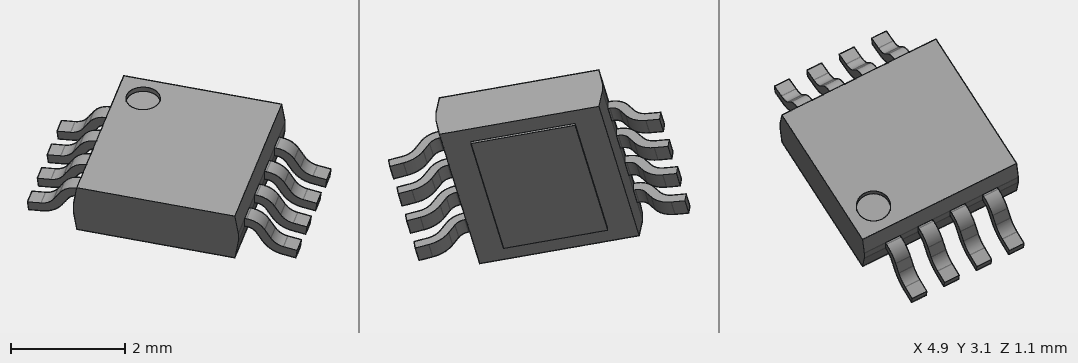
import cadquery as cq
import math

span = 4.9
overall_height = 1.1

body_width = 3.0
body_length = 3.1
body_height = 0.97
side_inset = 0.065

marker_diameter = 0.605
marker_depth = 0.1
marker_x = -0.945
marker_y = 1.055

pad_width = 1.875
pad_length = 2.515
pad_thickness = 0.05

leads_per_side = 4
lead_pitch = 0.65
lead_width = 0.3
lead_thickness = 0.18
shoulder_radius = 0.39
ankle_radius = 0.32
slope_angle = math.radians(57)
foot_angle = math.radians(7)
foot_length = 0.25

body_bottom = overall_height - body_height
body_middle = overall_height - body_height / 2
band_top = body_middle + lead_thickness / 2
band_bottom = body_middle - lead_thickness / 2


def make_body():
    band_x = body_width / 2
    face_x = band_x - side_inset
    right_side = [
        (face_x, body_bottom),
        (band_x, band_bottom),
        (band_x, band_top),
        (face_x, overall_height),
    ]
    left_side = [(-x, z) for x, z in reversed(right_side)]
    block = (
        cq.Workplane("XZ")
        .polyline(right_side + left_side)
        .close()
        .extrude(body_length / 2, both=True)
    )
    marker = (
        cq.Workplane("XY", origin=(marker_x, marker_y, overall_height - marker_depth))
        .circle(marker_diameter / 2)
        .extrude(marker_depth)
    )
    return block.cut(marker)


def make_thermal_pad():
    return (
        cq.Workplane("XY", origin=(0, 0, body_bottom - pad_thickness))
        .rect(pad_width, pad_length)
        .extrude(pad_thickness)
    )


def above(center, radius, angle):
    """Point on a convex arc whose tangent falls at the given angle."""
    return (center[0] + radius * math.sin(angle), center[1] + radius * math.cos(angle))


def below(center, radius, angle):
    """Point on a concave arc whose tangent falls at the given angle."""
    return above(center, -radius, angle)


def lead_profile():
    """XZ outline of a lead on the +X side, from the body out to the foot."""
    shoulder_inner = shoulder_radius - lead_thickness
    ankle_outer = ankle_radius + lead_thickness

    shoulder_drop = shoulder_radius * (1 - math.cos(slope_angle))
    ankle_drop = ankle_radius * (math.cos(foot_angle) - math.cos(slope_angle))
    foot_drop = foot_length * math.sin(foot_angle) + lead_thickness * math.cos(foot_angle)
    slope_drop = band_top - shoulder_drop - ankle_drop - foot_drop
    slope_run = slope_drop / math.tan(slope_angle)

    foot_run = foot_length * math.cos(foot_angle)
    ankle_x = span / 2 - foot_run + ankle_radius * math.sin(foot_angle)
    bend_offset = (shoulder_radius + ankle_radius) * math.sin(slope_angle) + slope_run
    shoulder_x = ankle_x - bend_offset
    shoulder_center = (shoulder_x, band_top - shoulder_radius)
    slope_end_z = band_top - shoulder_drop - slope_drop
    ankle_center = (ankle_x, slope_end_z + ankle_radius * math.cos(slope_angle))

    tip_top_z = lead_thickness * math.cos(foot_angle)
    tip_bottom_x = span / 2 - lead_thickness * math.sin(foot_angle)
    shoulder_mid = slope_angle / 2
    ankle_mid = (slope_angle + foot_angle) / 2

    return (
        cq.Workplane("XZ", origin=(0, lead_width / 2, 0))
        .moveTo(body_width / 2, band_top)
        .lineTo(*above(shoulder_center, shoulder_radius, 0))
        .threePointArc(
            above(shoulder_center, shoulder_radius, shoulder_mid),
            above(shoulder_center, shoulder_radius, slope_angle),
        )
        .lineTo(*below(ankle_center, ankle_radius, slope_angle))
        .threePointArc(
            below(ankle_center, ankle_radius, ankle_mid),
            below(ankle_center, ankle_radius, foot_angle),
        )
        .lineTo(span / 2, tip_top_z)
        .lineTo(tip_bottom_x, 0)
        .lineTo(*below(ankle_center, ankle_outer, foot_angle))
        .threePointArc(
            below(ankle_center, ankle_outer, ankle_mid),
            below(ankle_center, ankle_outer, slope_angle),
        )
        .lineTo(*above(shoulder_center, shoulder_inner, slope_angle))
        .threePointArc(
            above(shoulder_center, shoulder_inner, shoulder_mid),
            above(shoulder_center, shoulder_inner, 0),
        )
        .lineTo(body_width / 2, band_bottom)
        .close()
    )


def make_leads():
    right_lead = lead_profile().extrude(lead_width)
    left_lead = right_lead.mirror("YZ")
    first_y = -(leads_per_side - 1) * lead_pitch / 2
    leads = []
    for index in range(leads_per_side):
        y = first_y + index * lead_pitch
        for lead in (right_lead, left_lead):
            leads.append(lead.translate((0, y, 0)).val())
    return leads


body = make_body()
thermal_pad = make_thermal_pad()
leads = make_leads()

result = cq.Compound.makeCompound([body.val(), thermal_pad.val(), *leads])